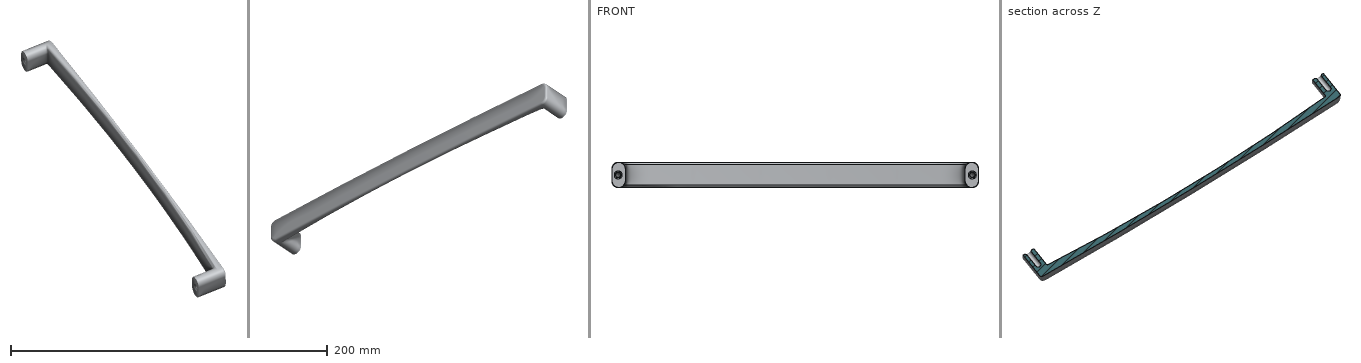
import cadquery as cq
import math

length = 232.0
height = 21.79
width = 16.0

foot_thickness = 8.5
foot_corner_radius = 4.2

hole_spacing = 224.0
mouth_diameter = 5.0
hole_diameter = 3.3
mouth_depth = (mouth_diameter - hole_diameter) / 2
hole_depth = 12.0
drill_point_angle = 118.0

outer_end_y = 20.05
inner_end_y = 14.0
middle_thickness = 3.0

outer_edge_radius = 1.3
inner_edge_radius = 1.5
foot_joint_radius = 0.8

half_length = length / 2
half_width = width / 2
foot_center_x = half_length - foot_thickness / 2
foot_inner_x = half_length - foot_thickness
inner_middle_y = height - middle_thickness


def bowed_slab(half_span, end_y, middle_y):
    """Solid from Y = 0 up to an arc that rises from end_y to middle_y at X = 0."""
    return (
        cq.Workplane("XY", origin=(0, 0, -half_width))
        .moveTo(-half_span, 0)
        .lineTo(-half_span, end_y)
        .threePointArc((0, middle_y), (half_span, end_y))
        .lineTo(half_span, 0)
        .close()
        .extrude(width)
    )


def outer_form():
    """Everything under the outer face, with rounded ends and a rounded outer rim."""
    form = bowed_slab(half_length, outer_end_y, height)
    form = form.edges("|Y").fillet(foot_corner_radius)
    return form.faces(">Y").edges().fillet(outer_edge_radius)


def grip(form):
    """Full-length bar between the two bowed faces, rounded along its inner rim."""
    bar = form.cut(bowed_slab(half_length, inner_end_y, inner_middle_y))
    inner_middle = cq.selectors.NearestToPointSelector((0, inner_middle_y, 0))
    return bar.faces(inner_middle).edges().fillet(inner_edge_radius)


def feet():
    """Two rounded posts, as tall as the handle."""
    return (
        cq.Workplane("XZ")
        .pushPoints([(-foot_center_x, 0), (foot_center_x, 0)])
        .rect(foot_thickness, width)
        .extrude(-height)
        .edges("|Y")
        .fillet(foot_corner_radius)
    )


def opening(form):
    """Space between the feet and behind the grip."""
    span = cq.Workplane("XY").box(2 * foot_center_x, 2 * height, width)
    return span.cut(feet()).cut(grip(form))


def screw_holes():
    """Blind drilled holes with a countersunk mouth and a conical end."""
    mouth_radius = mouth_diameter / 2
    hole_radius = hole_diameter / 2
    tip_length = hole_radius / math.tan(math.radians(drill_point_angle / 2))
    drill = (
        cq.Workplane("XY")
        .lineTo(mouth_radius, 0)
        .lineTo(hole_radius, mouth_depth)
        .lineTo(hole_radius, hole_depth)
        .lineTo(0, hole_depth + tip_length)
        .close()
        .revolve(360, (0, 0), (0, 1))
    )
    hole_x = hole_spacing / 2
    return drill.translate((-hole_x, 0, 0)).union(drill.translate((hole_x, 0, 0)))


def round_joints(handle):
    """Fillet the corners where the grip meets the feet; each fillet follows the foot around."""
    near_joint = cq.selectors.NearestToPointSelector
    left_joint = near_joint((-foot_inner_x, inner_end_y, 0))
    right_joint = near_joint((foot_inner_x, inner_end_y, 0))
    return handle.edges(left_joint + right_joint).fillet(foot_joint_radius)


form = outer_form()
handle = round_joints(form.cut(opening(form)))
result = handle.cut(screw_holes())